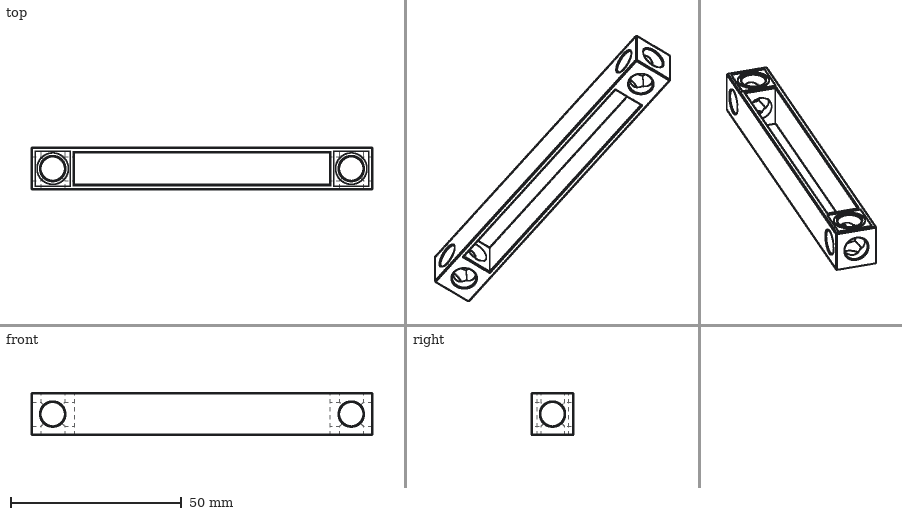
import cadquery as cq

length = 100.0
side = 12.5
half_side = side / 2
edge_chamfer = 0.3

window_wall = 1.6
window_length = length - 2 * side
window_width = side - 2 * window_wall

joint_offset = (length - side) / 2
bore_diameter = 7.0
bore_chamfer = 0.3

recess_side = 10.3
recess_depth = 0.2
collar_diameter = 9.2


def make_frame():
    """Chamfered beam with the chamfered central window cut through it."""
    beam = cq.Workplane("XY").box(length, side, side).edges().chamfer(edge_chamfer)
    window = cq.Workplane("XY").box(window_length, window_width, side)
    return beam.cut(window).cut(window_rim(1)).cut(window_rim(-1))


def window_rim(direction):
    """Tapered cutter that chamfers the top (1) or bottom (-1) rim of the window."""
    return (
        cq.Workplane("XY")
        .workplane(offset=direction * half_side)
        .rect(window_length + 2 * edge_chamfer, window_width + 2 * edge_chamfer)
        .workplane(offset=-direction * edge_chamfer)
        .rect(window_length, window_width)
        .loft()
    )


def bore(plane, chamfered_ends):
    """Cylinder through a joint, with a chamfer cone at each listed end (1 or -1) of its axis."""
    cutter = cq.Workplane(plane).circle(bore_diameter / 2).extrude(half_side, both=True)
    for end in chamfered_ends:
        mouth = (
            cq.Workplane(plane)
            .workplane(offset=end * half_side)
            .circle(bore_diameter / 2 + bore_chamfer)
            .workplane(offset=-end * bore_chamfer)
            .circle(bore_diameter / 2)
            .loft()
        )
        cutter = cutter.union(mouth)
    return cutter


def collar_recess():
    """Square recess in the top of a joint that leaves a round collar standing."""
    return (
        cq.Workplane("XY")
        .workplane(offset=half_side)
        .rect(recess_side, recess_side)
        .circle(collar_diameter / 2)
        .extrude(-recess_depth)
    )


result = make_frame()
for outward in (-1, 1):
    cutters = (
        bore("XY", (-1, 1)),
        bore("XZ", (-1, 1)),
        bore("YZ", (outward,)),
        collar_recess(),
    )
    for cutter in cutters:
        result = result.cut(cutter.translate((outward * joint_offset, 0, 0)))